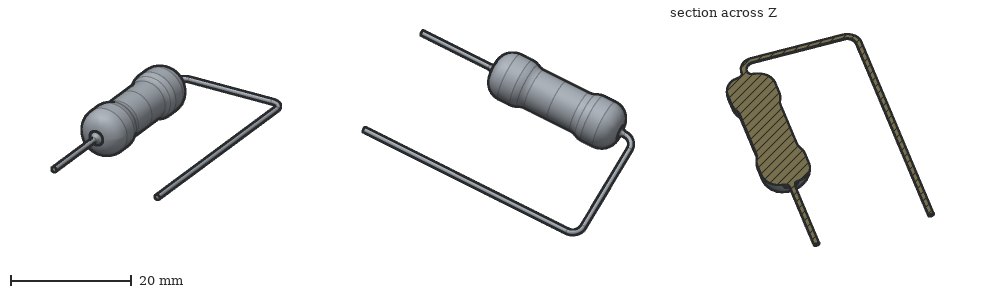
import cadquery as cq
import math

overall_length = 40.9
lead_diameter = 1.0
lead_spacing = 20.0
bend_radius = 2.0

body_diameter = 8.4
waist_diameter = 7.15
cap_half_length = 12.0
cap_band_inner = 6.7
cap_round_radius = 3.0
waist_half_length = 4.3
neck_fillet = 0.8

lead_radius = lead_diameter / 2
body_radius = body_diameter / 2
waist_radius = waist_diameter / 2
bridge_y = overall_length - lead_radius
bend_start_y = bridge_y - bend_radius
neck_half_length = cap_half_length + neck_fillet
body_center_y = bend_start_y - neck_half_length
diagonal = math.sqrt(0.5)


def make_body():
    """Revolve the half profile from the body centre outwards, then mirror it."""
    neck_radius = lead_radius + neck_fillet
    cap_band_outer = cap_half_length - cap_round_radius
    cap_mid = (
        body_radius - cap_round_radius * (1 - diagonal),
        cap_band_outer + cap_round_radius * diagonal,
    )
    neck_mid = (
        lead_radius + neck_fillet * (1 - diagonal),
        neck_half_length - neck_fillet * diagonal,
    )
    flare_mid = (
        (body_radius + waist_radius) / 2,
        (waist_half_length + cap_band_inner) / 2,
    )
    half = (
        cq.Workplane("XY")
        .lineTo(waist_radius, 0)
        .lineTo(waist_radius, waist_half_length)
        .tangentArcPoint(flare_mid, relative=False)
        .tangentArcPoint((body_radius, cap_band_inner), relative=False)
        .lineTo(body_radius, cap_band_outer)
        .threePointArc(cap_mid, (body_radius - cap_round_radius, cap_half_length))
        .lineTo(neck_radius, cap_half_length)
        .threePointArc(neck_mid, (lead_radius, neck_half_length))
        .lineTo(0, neck_half_length)
        .close()
        .revolve(360, (0, 0, 0), (0, 1, 0))
    )
    return half.union(half.mirror("XZ")).translate((0, body_center_y, 0))


def make_lead():
    """Sweep one wire through the body, across the bridge and back to Y = 0."""
    bend_inset = bend_radius * (1 - diagonal)
    path = (
        cq.Workplane("XY")
        .lineTo(0, bend_start_y)
        .threePointArc((bend_inset, bridge_y - bend_inset), (bend_radius, bridge_y))
        .lineTo(lead_spacing - bend_radius, bridge_y)
        .threePointArc(
            (lead_spacing - bend_inset, bridge_y - bend_inset),
            (lead_spacing, bend_start_y),
        )
        .lineTo(lead_spacing, 0)
    )
    return cq.Workplane("XZ").circle(lead_radius).sweep(path)


result = make_body().union(make_lead())